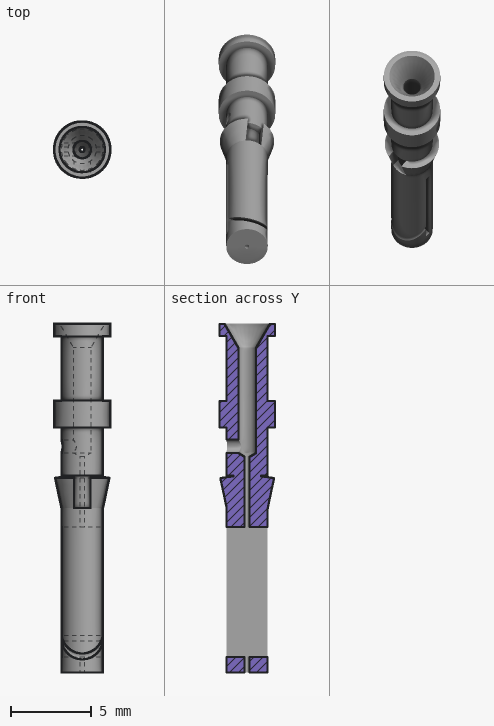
import cadquery as cq

LENGTH = 21.6
FLANGE_DIAMETER = 3.5
SHAFT_DIAMETER = 2.57
TOP_FLANGE_THICKNESS = 0.8
COLLAR_BOTTOM = 15.16
COLLAR_TOP = 16.83

NECK_BOTTOM = 10.17
NECK_TOP = 12.18
NECK_DIAMETER = 1.75
CLIP_OUTER_GAP = 0.13
CLIP_INNER_GAP = 0.02
CLIP_TOP_DIAMETER = 3.37
CLIP_SPLIT_WIDTH = 1.04

MOUTH_DIAMETER = 2.8
MOUTH_DEPTH = 1.5
WIRE_BORE_DIAMETER = 1.08
BORE_TIP_HEIGHT = 0.24
CENTRAL_HOLE_DIAMETER = 0.28

INSPECTION_DIAMETER = 0.8
INSPECTION_HEIGHT = 14.0

SLOT_WIDTH = 0.32
SLOT_BOTTOM = 0.97
SLOT_TOP = 9.0
CUT_HEIGHT = 0.37
CUT_OUTER_BOTTOM = 0.82

SHAFT_RADIUS = SHAFT_DIAMETER / 2
NECK_RADIUS = NECK_DIAMETER / 2


def cylinder(diameter, bottom, top):
    return cq.Workplane("XY").workplane(offset=bottom).circle(diameter / 2).extrude(top - bottom)


def revolve_profile(points):
    """Turn a closed (radius, height) outline around Z."""
    return cq.Workplane("XZ").polyline(points).close().revolve(360, (0, 0), (0, 1))


def make_body():
    shaft = cylinder(SHAFT_DIAMETER, 0, LENGTH)
    top_flange = cylinder(FLANGE_DIAMETER, LENGTH - TOP_FLANGE_THICKNESS, LENGTH)
    collar = cylinder(FLANGE_DIAMETER, COLLAR_BOTTOM, COLLAR_TOP)
    neck_groove = cylinder(FLANGE_DIAMETER, NECK_BOTTOM, NECK_TOP).cut(
        cylinder(NECK_DIAMETER, NECK_BOTTOM, NECK_TOP)
    )
    return shaft.cut(neck_groove).union(top_flange).union(collar)


def make_clip():
    outer_top = NECK_TOP - CLIP_OUTER_GAP
    inner_top = NECK_TOP - CLIP_INNER_GAP
    clip = revolve_profile([
        (NECK_RADIUS, NECK_BOTTOM),
        (SHAFT_RADIUS, NECK_BOTTOM),
        (CLIP_TOP_DIAMETER / 2, outer_top),
        (NECK_RADIUS, inner_top),
    ])
    split = cq.Workplane("XY").box(
        CLIP_SPLIT_WIDTH, FLANGE_DIAMETER, LENGTH, centered=(True, False, False)
    ).translate((0, -FLANGE_DIAMETER, 0))
    return clip.cut(split)


def make_wire_entry():
    bore_bottom = INSPECTION_HEIGHT - INSPECTION_DIAMETER / 2
    tip_bottom = bore_bottom - BORE_TIP_HEIGHT
    bore_radius = WIRE_BORE_DIAMETER / 2
    hole_radius = CENTRAL_HOLE_DIAMETER / 2
    return revolve_profile([
        (0, 0),
        (hole_radius, 0),
        (hole_radius, tip_bottom),
        (bore_radius, bore_bottom),
        (bore_radius, LENGTH - MOUTH_DEPTH),
        (MOUTH_DIAMETER / 2, LENGTH),
        (0, LENGTH),
    ])


def make_inspection_hole():
    hole = cq.Workplane("YZ").center(0, INSPECTION_HEIGHT).circle(INSPECTION_DIAMETER / 2)
    return hole.extrude(-FLANGE_DIAMETER)


def make_spring_slot():
    return cq.Workplane("XY").box(
        FLANGE_DIAMETER, SLOT_WIDTH, SLOT_TOP - SLOT_BOTTOM, centered=(True, True, False)
    ).translate((0, 0, SLOT_BOTTOM))


def make_angled_cut():
    outer_y = -FLANGE_DIAMETER / 2
    outer_z = CUT_OUTER_BOTTOM + SHAFT_RADIUS + outer_y
    inner_z = CUT_OUTER_BOTTOM + SHAFT_RADIUS
    outline = cq.Workplane("YZ").polyline([
        (outer_y, outer_z),
        (0, inner_z),
        (0, inner_z + CUT_HEIGHT),
        (outer_y, outer_z + CUT_HEIGHT),
    ]).close()
    return outline.extrude(FLANGE_DIAMETER / 2, both=True)


result = (
    make_body()
    .union(make_clip())
    .cut(make_wire_entry())
    .cut(make_inspection_hole())
    .cut(make_spring_slot())
    .cut(make_angled_cut())
)